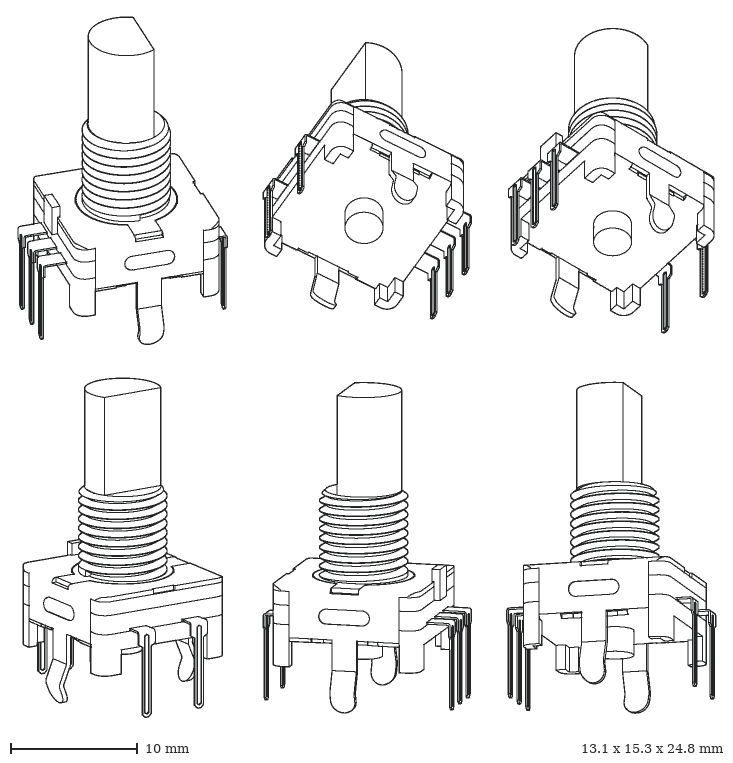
import cadquery as cq
import math


BODY_X = 11.8
BODY_Y = 12.05
CORNER_R = 0.97
WEB_BOTTOM = 1.98
BASE_TOP = 3.4
SPACER_TOP = 4.95
PLATE_TOP = 6.47

FOOT_X = 1.88
POST_D = 3.0
FOOT_WALL = 0.8
LEDGE_GAP_Y = 5.45
RELIEF_Y = 3.62
RELIEF = 0.1

SHEET = 0.4
FLANGE_Y = 8.97
FLANGE_BOTTOM = 2.35
HOLE_R = 4.05
STRAP_Y = 2.28
NOTCH_DEPTH = 0.2
BUMP_Z = 4.21
BUMP_LENGTH = 4.11
BUMP_HEIGHT = 1.2
BUMP_RISE = 0.3
BUMP_EDGE_R = 0.25

LEG_Y = 1.98
LEG_BEND_Z = -0.1
LEG_KINK_X = 6.62
LEG_KINK_Z = -1.8
LEG_TIP_X = 5.97
LEG_KINK_R = 0.7
TIP_Z = -3.45

RING_R = 3.96
TAB_X = 1.98
TAB_Y = 0.67
TAB_TOP = 7.43
THREAD_D = 7.0
THREAD_ROOT_R = 2.9
THREAD_PITCH = 0.75
THREAD_CREST = 0.05
THREAD_START = 6.62
BUSHING_TOP = 13.33
SHAFT_D = 6.02
SHAFT_FLAT_Y = 1.44
SHAFT_TOP = 21.34

TERMINAL_PITCH = 2.45
FRONT_REACH = 7.93
REAR_REACH = 7.33
TERMINAL_TOP = 3.62
TERMINAL_SHEET = 0.15
TERMINAL_BEND_R = 0.22
TERMINAL_EMBED = 0.5
HEAD_WIDTH = 1.54
HEAD_BOTTOM = 2.55
PIN_WIDTH = 0.8
PIN_TOP = 2.3
PIN_TIP_CHAMFER = 0.25
GROOVE_WIDTH = 0.4
GROOVE_TOP = 3.32
GROOVE_BOTTOM = -3.2
GROOVE_POINT = 0.12
GROOVE_DEPTH = 0.037

SHEET_BOTTOM = PLATE_TOP - SHEET
SIDES = (-1, 1)


def box(x_size, y_size, z_low, z_high, x=0.0, y=0.0):
    """Box centred on (x, y) between two levels."""
    return cq.Workplane(origin=(x, y, z_low)).rect(x_size, y_size).extrude(z_high - z_low)


def cylinder(radius, z_low, z_high):
    return cq.Workplane(origin=(0, 0, z_low)).circle(radius).extrude(z_high - z_low)


def rounded_block(z_low, z_high):
    return box(BODY_X, BODY_Y, z_low, z_high).edges("|Z").fillet(CORNER_R)


def moulded_layer(z_low, z_high):
    """Body layer with a recess on each X side for the bracket flange."""
    layer = rounded_block(z_low, z_high)
    for side in SIDES:
        layer = layer.cut(box(2 * SHEET, FLANGE_Y, z_low, z_high, x=side * BODY_X / 2))
    return layer


def make_bushing():
    """Flange layer with ring, straps, tab, threaded neck and D-shaft."""
    thread_r = THREAD_D / 2
    neck = cylinder(thread_r, PLATE_TOP, BUSHING_TOP).faces(">Z").chamfer(thread_r - SHAFT_D / 2)
    neck = neck.cut(thread_groove())
    body = moulded_layer(SPACER_TOP, SHEET_BOTTOM)
    body = body.union(cylinder(RING_R, SHEET_BOTTOM, PLATE_TOP))
    body = body.union(box(BODY_X - 2 * SHEET, STRAP_Y, SHEET_BOTTOM, PLATE_TOP))
    tab_y = -BODY_Y / 2 + NOTCH_DEPTH - TAB_Y / 2
    body = body.union(box(TAB_X, TAB_Y, SPACER_TOP, TAB_TOP, y=tab_y))
    return body.union(neck).union(make_shaft())


def thread_groove():
    """V-shaped helical groove that starts on the +X side and runs out through the bushing top."""
    turns = math.ceil((BUSHING_TOP - THREAD_START) / THREAD_PITCH) + 0.5
    path = cq.Wire.makeHelix(THREAD_PITCH, turns * THREAD_PITCH, THREAD_D / 2)
    overshoot = 0.02
    depth = THREAD_D / 2 - THREAD_ROOT_R
    half_width = (THREAD_PITCH - THREAD_CREST) / 2
    outer_half = half_width * (depth + overshoot) / depth
    outer_x = THREAD_D / 2 + overshoot
    profile = [(THREAD_ROOT_R, 0), (outer_x, -outer_half), (outer_x, outer_half)]
    groove = cq.Workplane("XZ").polyline(profile).close().sweep(cq.Workplane(path), isFrenet=True)
    return groove.translate((0, 0, THREAD_START))


def make_shaft():
    """D-shaped shaft that stands on the bushing, with its flat facing +Y."""
    shaft = cylinder(SHAFT_D / 2, BUSHING_TOP, SHAFT_TOP)
    cut_depth = SHAFT_D / 2 - SHAFT_FLAT_Y
    return shaft.cut(box(SHAFT_D, cut_depth, BUSHING_TOP, SHAFT_TOP, y=SHAFT_FLAT_Y + cut_depth / 2))


def make_spacer(terminals):
    """Middle layer with a slot for the inner end of each terminal."""
    spacer = moulded_layer(BASE_TOP, SPACER_TOP)
    for terminal in terminals:
        spacer = spacer.cut(terminal)
    return spacer


def make_base():
    """Lower layer: a web on four angle-shaped corner feet, with a centre post."""
    web_span = BODY_X - 2 * FOOT_WALL
    base = moulded_layer(0, BASE_TOP)
    for side in SIDES:
        base = base.union(web_ledges(side))
        base = base.cut(box(2 * (SHEET + RELIEF), RELIEF_Y, 0, FLANGE_BOTTOM, x=side * BODY_X / 2))
    base = base.cut(box(BODY_X - 2 * FOOT_X, BODY_Y, 0, WEB_BOTTOM))
    base = base.cut(box(BODY_X, FLANGE_Y, 0, WEB_BOTTOM))
    base = base.cut(box(web_span, BODY_Y - 2 * FOOT_WALL, 0, WEB_BOTTOM))
    return base.union(cylinder(POST_D / 2, 0, WEB_BOTTOM))


def web_ledges(side):
    """Two ledges under the bracket flange, rounded along their lower outer edge."""
    round_r = FLANGE_BOTTOM - WEB_BOTTOM
    ledge = box(2 * SHEET, FLANGE_Y, WEB_BOTTOM, FLANGE_BOTTOM, x=side * (BODY_X / 2 - SHEET))
    waste = ledge.translate((side * (2 * SHEET - round_r), 0, 0))
    axis_x = side * (BODY_X / 2 - round_r)
    roller = cq.Workplane("XZ", origin=(axis_x, FLANGE_Y / 2, FLANGE_BOTTOM))
    roller = roller.circle(round_r).extrude(FLANGE_Y)
    ledge = ledge.cut(waste.cut(roller))
    return ledge.cut(box(2 * SHEET, LEDGE_GAP_Y, WEB_BOTTOM, FLANGE_BOTTOM, x=side * BODY_X / 2))


def make_bracket():
    """Sheet-metal cover: top plate, two side flanges with stiffening bumps, two snap legs."""
    shell = box(BODY_X, BODY_Y, FLANGE_BOTTOM, PLATE_TOP).edges("|Y and >Z").fillet(SHEET)
    shell = shell.intersect(rounded_block(FLANGE_BOTTOM, PLATE_TOP))
    shell = shell.cut(box(BODY_X - 2 * SHEET, BODY_Y, FLANGE_BOTTOM, SHEET_BOTTOM))
    for side in SIDES:
        shell = shell.cut(box(BODY_X, BODY_Y, FLANGE_BOTTOM, SHEET_BOTTOM, y=side * (FLANGE_Y + BODY_Y) / 2))
        shell = shell.cut(box(TAB_X, 2 * NOTCH_DEPTH, SHEET_BOTTOM, PLATE_TOP, y=side * BODY_Y / 2))
    shell = shell.cut(cylinder(HOLE_R, SHEET_BOTTOM, PLATE_TOP))
    shell = shell.cut(box(BODY_X, STRAP_Y, SHEET_BOTTOM, PLATE_TOP))
    right_half = flange_bump().union(snap_leg())
    return shell.union(right_half).union(right_half.mirror("YZ"))


def flange_bump():
    """Rounded stiffening bump on the +X flange."""
    sketch = cq.Workplane("YZ", origin=(BODY_X / 2, 0, BUMP_Z))
    return sketch.slot2D(BUMP_LENGTH, BUMP_HEIGHT).extrude(BUMP_RISE).faces(">X").edges().fillet(BUMP_EDGE_R)


def snap_leg():
    """Kinked leg below the +X flange with a round tip."""
    outer_x = BODY_X / 2
    upper_slope = math.atan2(LEG_KINK_X - outer_x, LEG_BEND_Z - LEG_KINK_Z)
    lower_slope = math.atan2(LEG_KINK_X - LEG_TIP_X, LEG_KINK_Z - TIP_Z)
    bend_drop = SHEET * math.tan(upper_slope / 2)
    kink_inset = SHEET / math.cos((upper_slope + lower_slope) / 2)
    tip_inset = SHEET / math.cos(lower_slope)
    outline = [
        (outer_x, FLANGE_BOTTOM),
        (outer_x, LEG_BEND_Z),
        (LEG_KINK_X, LEG_KINK_Z),
        (LEG_TIP_X, TIP_Z),
        (LEG_TIP_X - tip_inset, TIP_Z),
        (LEG_KINK_X - kink_inset, LEG_KINK_Z),
        (outer_x - SHEET, LEG_BEND_Z - bend_drop),
        (outer_x - SHEET, FLANGE_BOTTOM),
    ]
    leg = cq.Workplane("XZ", origin=(0, LEG_Y / 2, 0)).polyline(outline).close().extrude(LEG_Y)
    leg = leg.edges(cq.selectors.NearestToPointSelector((LEG_KINK_X, 0, LEG_KINK_Z))).fillet(LEG_KINK_R)
    inner_kink = (LEG_KINK_X - kink_inset, 0, LEG_KINK_Z)
    leg = leg.edges(cq.selectors.NearestToPointSelector(inner_kink)).fillet(LEG_KINK_R - SHEET)
    tip_r = LEG_Y / 2
    front = box(BODY_X, LEG_Y, TIP_Z + tip_r, FLANGE_BOTTOM, x=outer_x)
    tip = cq.Workplane("YZ", origin=(0, 0, TIP_Z + tip_r)).circle(tip_r).extrude(BODY_X)
    return leg.intersect(front.union(tip))


def make_terminal(x, reach):
    """L-shaped terminal leaving the -Y face, outer pin face at y = -reach, both pin faces grooved."""
    inner_y = -(BODY_Y / 2 - TERMINAL_EMBED)
    arm_y = reach + inner_y
    mid_y = inner_y - arm_y / 2
    strip = box(HEAD_WIDTH, arm_y, TIP_Z, TERMINAL_TOP, y=mid_y)
    strip = strip.edges("|X and >Z and <Y").fillet(TERMINAL_BEND_R)
    hollow = box(HEAD_WIDTH, arm_y, TIP_Z, TERMINAL_TOP - TERMINAL_SHEET, y=mid_y + TERMINAL_SHEET)
    hollow = hollow.edges("|X and >Z and <Y").fillet(TERMINAL_BEND_R - TERMINAL_SHEET)
    strip = strip.cut(hollow)
    strip = strip.intersect(cq.Workplane("XZ").polyline(terminal_outline()).close().extrude(reach))
    for groove_y in (-reach, -reach + TERMINAL_SHEET - GROOVE_DEPTH):
        groove = cq.Workplane("XZ", origin=(0, groove_y + GROOVE_DEPTH, 0))
        strip = strip.cut(groove.polyline(groove_outline()).close().extrude(GROOVE_DEPTH))
    return strip.translate((x, 0, 0))


def mirrored(right_side):
    """Closed outline from the points of its +X side, listed downward."""
    return right_side + [(-x, z) for x, z in reversed(right_side)]


def terminal_outline():
    head = HEAD_WIDTH / 2
    pin = PIN_WIDTH / 2
    return mirrored([
        (head, TERMINAL_TOP),
        (head, HEAD_BOTTOM),
        (pin, PIN_TOP),
        (pin, TIP_Z + PIN_TIP_CHAMFER),
        (pin - PIN_TIP_CHAMFER, TIP_Z),
    ])


def groove_outline():
    half = GROOVE_WIDTH / 2
    side = [(half, GROOVE_TOP - GROOVE_POINT), (half, GROOVE_BOTTOM + GROOVE_POINT)]
    return [(0, GROOVE_TOP)] + side + [(0, GROOVE_BOTTOM)] + [(-x, z) for x, z in reversed(side)]


front_terminals = [make_terminal(i * TERMINAL_PITCH, FRONT_REACH) for i in (-1, 0, 1)]
rear_terminals = [
    make_terminal(i * TERMINAL_PITCH, REAR_REACH).rotate((0, 0, 0), (0, 0, 1), 180) for i in SIDES
]
terminals = front_terminals + rear_terminals
bushing = make_bushing()
bracket = make_bracket()
spacer = make_spacer(terminals)
base = make_base()

result = cq.Compound.makeCompound([
    bushing.val(),
    bracket.val(),
    spacer.val(),
    base.val(),
    *[terminal.val() for terminal in terminals],
])